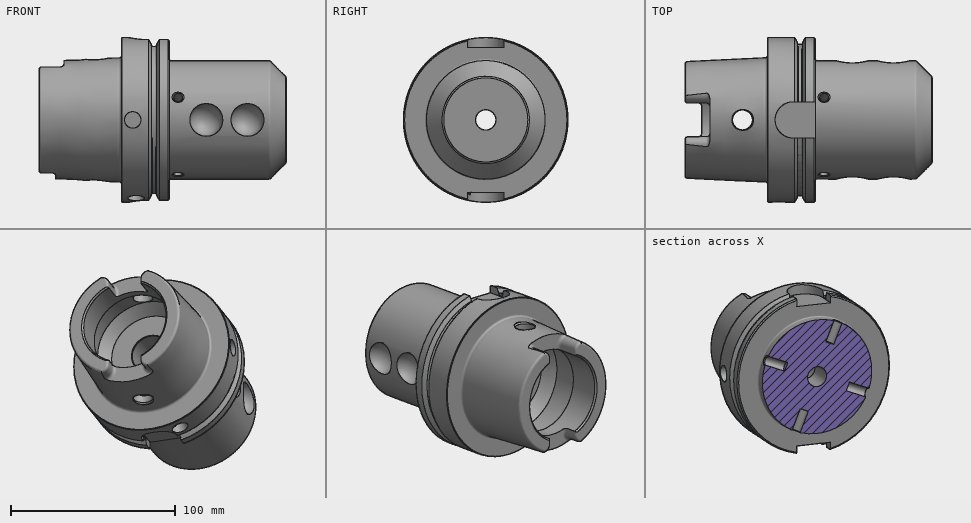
import cadquery as cq
import math

TOTAL_LENGTH = 150.0

MOUTH_FACE_RADIUS = 35.5
TAPER_END_RADIUS = 37.7
TAPER_END_X = 47.3
MOUTH_ROUND = 1.6
FLANGE_X = 50.0
FLANGE_ROOT_FILLET = 1.4

FLANGE_RADIUS = 50.0
FLANGE_END_X = 79.0
FLANGE_FRONT_CHAMFER = 0.4
FLANGE_REAR_CHAMFER = 0.8
GROOVE_START_X = 66.5
GROOVE_END_X = 72.9
GROOVE_FLOOR_RADIUS = 46.0
GROOVE_WALL_RADIUS = 47.2
GROOVE_WALL_INSET = 1.6
GROOVE_FILLET = 0.7

NOSE_RADIUS = 36.0
NOSE_ROOT_FILLET = 0.8
NOSE_CHAMFER = 10.0
NOSE_CHAMFER_ANGLE = 45.0
NOSE_SHOULDER_ROUND = 2.0
NOSE_TIP_CHAMFER = 0.5

BORE_RADIUS = 26.4
BORE_MOUTH_CHAMFER = 1.0
BORE_LIP_X = 20.5
CAVITY_RADIUS = 31.5
CAVITY_FLARE_ANGLE = 60.0
CAVITY_FLOOR_RADIUS = 24.8
CAVITY_FLOOR_X = 48.0

TUBE_SEAT_RADIUS = 11.7
TUBE_SEAT_CHAMFER = 0.4
TUBE_SEAT_END_X = 66.0
COOLANT_RADIUS = 6.1

NOTCH_HALF_WIDTH = 10.2
NOTCH_SHOULDER_Z = 32.2
NOTCH_SHOULDER_ROUND = 5.0
NOTCH_FLOOR_FILLET = 2.0
UPPER_NOTCH_DEPTH = 15.0
LOWER_NOTCH_DEPTH = 10.0

CROSS_HOLE_X = 34.8
CROSS_HOLE_RADIUS = 6.0
CROSS_HOLE_SINK_RADIUS = 6.7
CROSS_HOLE_SINK_DEPTH = 1.0

KEYWAY_START_X = 54.6
KEYWAY_HALF_WIDTH = 11.0
KEYWAY_FLOOR_Z = 44.0

RIM_HOLE_RADIUS = 5.0
CHIP_SEAT_X = 56.8
CHIP_SEAT_DEPTH = 4.6
CHIP_SEAT_ANGLE = 180.0
MARK_HOLE_X = 58.8
MARK_HOLE_DEPTH = 6.0
MARK_HOLE_ANGLE = 252.0

SCREW_HOLE_X = 84.3
SCREW_HOLE_RADIUS = 2.7
SCREW_HOLE_SINK_RADIUS = 3.6
SCREW_HOLE_SINK_ANGLE = 60.0
SCREW_HOLE_DEPTH = 14.0
SCREW_HOLE_COUNT = 4
SCREW_HOLE_FIRST_ANGLE = 67.5

POCKET_RADIUS = 10.0
POCKET_XS = (101.4, 126.4)

CLEARANCE = 5.0


def turned(profile):
    """Revolve an (x, radius) profile about the X axis."""
    return profile.close().revolve(360, (0, 0, 0), (1, 0, 0))


def radial_hole(x, angle, outer_radius, depth, hole_radius):
    """Cutter reaching inwards by depth from outer_radius; angle runs from +Y towards +Z."""
    cutter = cq.Solid.makeCylinder(
        hole_radius,
        depth + CLEARANCE,
        cq.Vector(x, outer_radius - depth, 0),
        cq.Vector(0, 1, 0),
    )
    return cq.Workplane(cutter).rotate((0, 0, 0), (1, 0, 0), angle)


def outer_body():
    """Taper shank, grooved flange and chamfered nose as one turned solid."""
    tip_radius = NOSE_RADIUS - NOSE_CHAMFER
    shoulder_x = TOTAL_LENGTH - NOSE_CHAMFER
    round_tangent = NOSE_SHOULDER_ROUND * math.tan(math.radians(NOSE_CHAMFER_ANGLE / 2))
    round_end_x = shoulder_x + round_tangent * math.cos(math.radians(NOSE_CHAMFER_ANGLE))
    round_end_radius = NOSE_RADIUS - round_tangent * math.sin(math.radians(NOSE_CHAMFER_ANGLE))
    groove_wall_start_x = GROOVE_START_X + GROOVE_WALL_INSET
    groove_wall_end_x = GROOVE_END_X - GROOVE_WALL_INSET
    profile = (
        cq.Workplane("XY")
        .moveTo(0, 0)
        .lineTo(0, MOUTH_FACE_RADIUS - MOUTH_ROUND)
        .radiusArc((MOUTH_ROUND, MOUTH_FACE_RADIUS), MOUTH_ROUND)
        .lineTo(TAPER_END_X, TAPER_END_RADIUS)
        .lineTo(FLANGE_X - FLANGE_ROOT_FILLET, TAPER_END_RADIUS)
        .radiusArc((FLANGE_X, TAPER_END_RADIUS + FLANGE_ROOT_FILLET), -FLANGE_ROOT_FILLET)
        .lineTo(FLANGE_X, FLANGE_RADIUS - FLANGE_FRONT_CHAMFER)
        .lineTo(FLANGE_X + FLANGE_FRONT_CHAMFER, FLANGE_RADIUS)
        .lineTo(GROOVE_START_X, FLANGE_RADIUS)
        .lineTo(groove_wall_start_x, GROOVE_WALL_RADIUS)
        .lineTo(groove_wall_start_x, GROOVE_FLOOR_RADIUS + GROOVE_FILLET)
        .radiusArc((groove_wall_start_x + GROOVE_FILLET, GROOVE_FLOOR_RADIUS), -GROOVE_FILLET)
        .lineTo(groove_wall_end_x - GROOVE_FILLET, GROOVE_FLOOR_RADIUS)
        .radiusArc((groove_wall_end_x, GROOVE_FLOOR_RADIUS + GROOVE_FILLET), -GROOVE_FILLET)
        .lineTo(groove_wall_end_x, GROOVE_WALL_RADIUS)
        .lineTo(GROOVE_END_X, FLANGE_RADIUS)
        .lineTo(FLANGE_END_X - FLANGE_REAR_CHAMFER, FLANGE_RADIUS)
        .lineTo(FLANGE_END_X, FLANGE_RADIUS - FLANGE_REAR_CHAMFER)
        .lineTo(FLANGE_END_X, NOSE_RADIUS + NOSE_ROOT_FILLET)
        .radiusArc((FLANGE_END_X + NOSE_ROOT_FILLET, NOSE_RADIUS), -NOSE_ROOT_FILLET)
        .lineTo(shoulder_x - round_tangent, NOSE_RADIUS)
        .radiusArc((round_end_x, round_end_radius), NOSE_SHOULDER_ROUND)
        .lineTo(TOTAL_LENGTH - NOSE_TIP_CHAMFER, tip_radius + NOSE_TIP_CHAMFER)
        .lineTo(TOTAL_LENGTH, tip_radius - NOSE_TIP_CHAMFER)
        .lineTo(TOTAL_LENGTH, 0)
    )
    return turned(profile)


def inner_cavity():
    """Clamping bore, undercut cavity, coolant tube seat and coolant passage."""
    flare_length = (CAVITY_RADIUS - BORE_RADIUS) / math.tan(math.radians(CAVITY_FLARE_ANGLE))
    floor_cone = CAVITY_RADIUS - CAVITY_FLOOR_RADIUS
    profile = (
        cq.Workplane("XY")
        .moveTo(0, 0)
        .lineTo(0, BORE_RADIUS + BORE_MOUTH_CHAMFER)
        .lineTo(BORE_MOUTH_CHAMFER, BORE_RADIUS)
        .lineTo(BORE_LIP_X, BORE_RADIUS)
        .lineTo(BORE_LIP_X + flare_length, CAVITY_RADIUS)
        .lineTo(CAVITY_FLOOR_X - floor_cone, CAVITY_RADIUS)
        .lineTo(CAVITY_FLOOR_X, CAVITY_FLOOR_RADIUS)
        .lineTo(CAVITY_FLOOR_X, TUBE_SEAT_RADIUS + TUBE_SEAT_CHAMFER)
        .lineTo(CAVITY_FLOOR_X + TUBE_SEAT_CHAMFER, TUBE_SEAT_RADIUS)
        .lineTo(TUBE_SEAT_END_X, TUBE_SEAT_RADIUS)
        .lineTo(TUBE_SEAT_END_X, COOLANT_RADIUS)
        .lineTo(TOTAL_LENGTH, COOLANT_RADIUS)
        .lineTo(TOTAL_LENGTH, 0)
    )
    return turned(profile)


def jaw(depth):
    """Block on the +Y side of a driving notch, with its top corner and its mouth edges rounded."""
    block = (
        cq.Workplane("XY")
        .box(depth, FLANGE_RADIUS, NOTCH_SHOULDER_Z, centered=False)
        .translate((0, NOTCH_HALF_WIDTH, 0))
    )
    block = block.edges("<Y and >Z").fillet(NOTCH_SHOULDER_ROUND)
    return block.faces("<X").edges("(not <Z) and (not >Y)").fillet(MOUTH_ROUND)


def driving_notch(depth):
    """Upper notch: straight walls that round outwards onto flat shoulders."""
    cutter = cq.Workplane("XY").box(
        depth, 2 * FLANGE_RADIUS, FLANGE_RADIUS, centered=(False, True, False)
    )
    cutter = cutter.cut(jaw(depth)).cut(jaw(depth).mirror("XZ"))
    return cutter.faces(">X").edges().fillet(NOTCH_FLOOR_FILLET)


def keyway():
    """Upper keyway: rounded front end, open at the rear face of the flange."""
    return (
        cq.Workplane("XY", origin=(0, 0, KEYWAY_FLOOR_Z))
        .moveTo(FLANGE_END_X, -KEYWAY_HALF_WIDTH)
        .lineTo(KEYWAY_START_X + KEYWAY_HALF_WIDTH, -KEYWAY_HALF_WIDTH)
        .threePointArc((KEYWAY_START_X, 0), (KEYWAY_START_X + KEYWAY_HALF_WIDTH, KEYWAY_HALF_WIDTH))
        .lineTo(FLANGE_END_X, KEYWAY_HALF_WIDTH)
        .close()
        .extrude(FLANGE_RADIUS)
    )


def screw_hole(angle):
    """Countersunk blind hole running towards the X axis; angle runs from +Y towards +Z."""
    sink_depth = (SCREW_HOLE_SINK_RADIUS - SCREW_HOLE_RADIUS) / math.tan(math.radians(SCREW_HOLE_SINK_ANGLE))
    profile = (
        cq.Workplane("XY")
        .moveTo(0, NOSE_RADIUS - SCREW_HOLE_DEPTH)
        .lineTo(SCREW_HOLE_RADIUS, NOSE_RADIUS - SCREW_HOLE_DEPTH)
        .lineTo(SCREW_HOLE_RADIUS, NOSE_RADIUS - sink_depth)
        .lineTo(SCREW_HOLE_SINK_RADIUS, NOSE_RADIUS)
        .lineTo(SCREW_HOLE_SINK_RADIUS, NOSE_RADIUS + CLEARANCE)
        .lineTo(0, NOSE_RADIUS + CLEARANCE)
    )
    hole = profile.close().revolve(360, (0, 0, 0), (0, 1, 0))
    return hole.translate((SCREW_HOLE_X, 0, 0)).rotate((0, 0, 0), (1, 0, 0), angle)


def ball_pocket(x, side):
    """Spherical pocket centred on the nose surface; side is -1 for -Y and 1 for +Y."""
    return cq.Workplane("XY", origin=(x, side * NOSE_RADIUS, 0)).sphere(POCKET_RADIUS)


def cross_hole():
    """Half of the hole through the shank along Z, countersunk where it leaves the upper side of the taper."""
    taper_slope = (TAPER_END_RADIUS - MOUTH_FACE_RADIUS) / (TAPER_END_X - MOUTH_ROUND)
    surface_radius = TAPER_END_RADIUS - (TAPER_END_X - CROSS_HOLE_X) * taper_slope
    profile = (
        cq.Workplane("XZ")
        .lineTo(CROSS_HOLE_RADIUS, 0)
        .lineTo(CROSS_HOLE_RADIUS, surface_radius - CROSS_HOLE_SINK_DEPTH)
        .lineTo(CROSS_HOLE_SINK_RADIUS, surface_radius)
        .lineTo(CROSS_HOLE_SINK_RADIUS, FLANGE_RADIUS)
        .lineTo(0, FLANGE_RADIUS)
    )
    half = profile.close().revolve(360, (0, 0, 0), (0, 1, 0))
    return half.translate((CROSS_HOLE_X, 0, 0))


def make_holder():
    """Turned body with all its notches, keyways, holes and pockets."""
    body = outer_body().cut(inner_cavity())

    upper_cutters = [driving_notch(UPPER_NOTCH_DEPTH), keyway(), cross_hole()]
    lower_cutters = [driving_notch(LOWER_NOTCH_DEPTH), keyway(), cross_hole()]
    for cutter in upper_cutters:
        body = body.cut(cutter)
    for cutter in lower_cutters:
        body = body.cut(cutter.rotate((0, 0, 0), (1, 0, 0), 180))

    chip_seat = radial_hole(CHIP_SEAT_X, CHIP_SEAT_ANGLE, FLANGE_RADIUS, CHIP_SEAT_DEPTH, RIM_HOLE_RADIUS)
    mark_hole = radial_hole(MARK_HOLE_X, MARK_HOLE_ANGLE, FLANGE_RADIUS, MARK_HOLE_DEPTH, RIM_HOLE_RADIUS)
    body = body.cut(chip_seat).cut(mark_hole)

    for index in range(SCREW_HOLE_COUNT):
        body = body.cut(screw_hole(SCREW_HOLE_FIRST_ANGLE + index * 360 / SCREW_HOLE_COUNT))

    for x in POCKET_XS:
        for side in (-1, 1):
            body = body.cut(ball_pocket(x, side))
    return body


holder = make_holder()
result = cq.Compound.makeCompound([holder.val()])